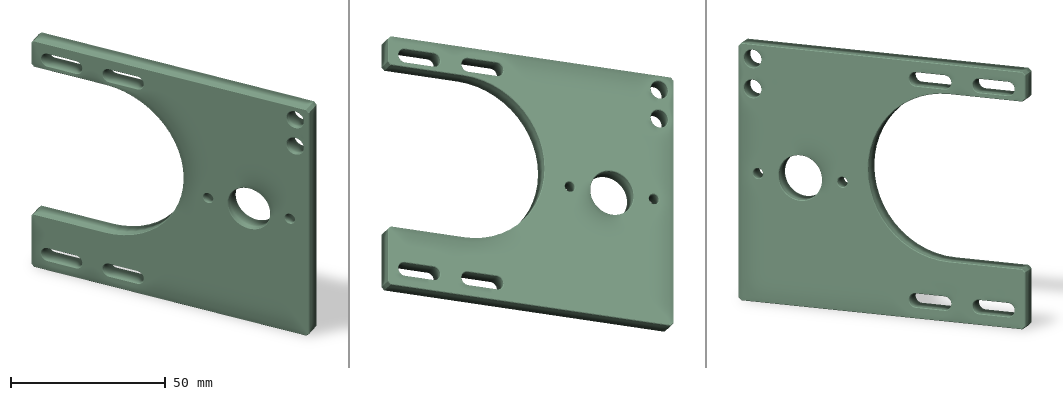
import cadquery as cq

length = 99.4
height = 86.2
thickness = 6.0
corner_chamfer = 1.0
edge_chamfer = 0.2

cutout_radius = 28.0
cutout_center_x = 26.4
lower_arm_height = 20.2
cutout_center_z = lower_arm_height + cutout_radius

slot_length = 14.5
slot_width = 4.6
first_slot_x = 10.9
slot_pitch = 22.0
slot_row_margin = 6.1
slot_row_heights = (slot_row_margin, height - slot_row_margin)

bore_diameter = 15.0
bore_x = 77.9
side_hole_diameter = 3.4
side_hole_offset = 14.6

corner_hole_diameter = 6.0
corner_hole_side_margin = 5.0
corner_hole_x = length - corner_hole_side_margin
corner_hole_top_margin = 4.9
corner_hole_pitch = 10.0


def face_sketch():
    """Workplane on the -Y face, with local axes X and Z from the lower -X corner."""
    return cq.Workplane("XZ")


def through_holes(centers, diameter):
    """Round cylinders that span the plate thickness."""
    return face_sketch().pushPoints(centers).circle(diameter / 2).extrude(-thickness)


def make_plate():
    """C-shaped plate with every outside corner chamfered."""
    block = face_sketch().rect(length, height, centered=False).extrude(-thickness)
    cutout = (
        face_sketch()
        .moveTo(0, cutout_center_z - cutout_radius)
        .lineTo(cutout_center_x, cutout_center_z - cutout_radius)
        .threePointArc(
            (cutout_center_x + cutout_radius, cutout_center_z),
            (cutout_center_x, cutout_center_z + cutout_radius),
        )
        .lineTo(0, cutout_center_z + cutout_radius)
        .close()
        .extrude(-thickness)
    )
    plate = block.cut(cutout)
    return plate.faces("<X or >X").edges("|Y").chamfer(corner_chamfer)


def make_slots():
    """Slot cutters for both arms."""
    centers = [
        (first_slot_x + column * slot_pitch, z)
        for column in range(2)
        for z in slot_row_heights
    ]
    return face_sketch().pushPoints(centers).slot2D(slot_length, slot_width).extrude(-thickness)


bore_z = height / 2
side_hole_centers = [(bore_x + side * side_hole_offset, bore_z) for side in (-1, 1)]
corner_hole_z = height - corner_hole_top_margin
corner_hole_centers = [(corner_hole_x, corner_hole_z - row * corner_hole_pitch) for row in range(2)]

drilled_plate = (
    make_plate()
    .cut(make_slots())
    .cut(through_holes([(bore_x, bore_z)], bore_diameter))
    .cut(through_holes(side_hole_centers, side_hole_diameter))
    .cut(through_holes(corner_hole_centers, corner_hole_diameter))
)

result = drilled_plate.faces("<Y or >Y").edges().chamfer(edge_chamfer)